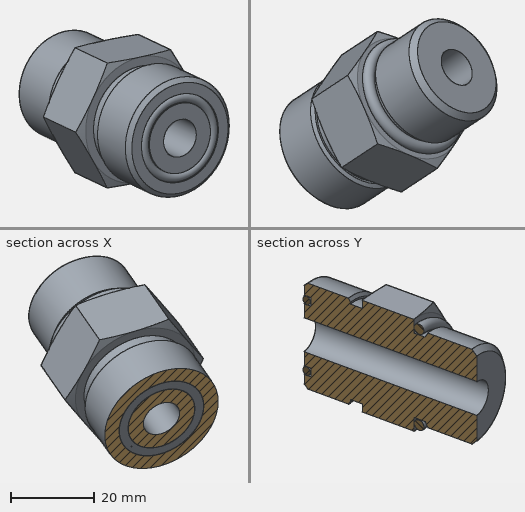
import cadquery as cq
import math

length = 51.25
stud_cone_start = 14.45
hex_start = 18.5
hex_end = 33.8
collar_start = 37.15
collar_end = 50.85

bore_diameter = 9.5
stud_diameter = 26.95
groove_diameter = 24.05
ring_diameter = 30.15
ring_section_diameter = 2.95
neck_diameter = 27.15
collar_diameter = 30.15
hex_across_flats = 31.75
face_seal_outer_diameter = 22.3
face_seal_inner_diameter = 17.7

thread_run_out_angle = 30.0
hex_chamfer_angle = 15.0
collar_back_width = 0.55
collar_front_chamfer = 1.15

bore_radius = bore_diameter / 2
stud_radius = stud_diameter / 2
groove_radius = groove_diameter / 2
neck_radius = neck_diameter / 2
collar_radius = collar_diameter / 2
face_seal_outer_radius = face_seal_outer_diameter / 2
face_seal_inner_radius = face_seal_inner_diameter / 2
hex_inner_radius = hex_across_flats / 2
hex_across_corners = hex_across_flats / math.cos(math.radians(30))
hex_outer_radius = hex_across_corners / 2
ring_section_radius = ring_section_diameter / 2
ring_center_radius = ring_diameter / 2 - ring_section_radius
face_seal_section_radius = (face_seal_outer_radius - face_seal_inner_radius) / 2
face_seal_center_radius = face_seal_inner_radius + face_seal_section_radius
face_groove_floor = length - 2 * face_seal_section_radius


def revolve_about_x(profile):
    """Turn a closed (x, radius) outline fully around the X axis."""
    return profile.revolve(360, (0, 0, 0), (1, 0, 0))


def make_stud():
    """Stud with an end chamfer, followed by the sealing ring groove."""
    end_chamfer = stud_radius - groove_radius
    run_out_width = end_chamfer * math.tan(math.radians(thread_run_out_angle))
    return revolve_about_x(
        cq.Workplane("XY").polyline([
            (0, 0),
            (0, stud_radius - end_chamfer),
            (end_chamfer, stud_radius),
            (stud_cone_start, stud_radius),
            (stud_cone_start + run_out_width, groove_radius),
            (hex_start, groove_radius),
            (hex_start, 0),
        ]).close()
    )


def make_hexagon():
    """Wrench hexagon with corners on the Y axis, chamfered at both ends."""
    prism = (
        cq.Workplane("YZ", origin=(hex_start, 0, 0))
        .polygon(6, hex_across_corners)
        .extrude(hex_end - hex_start)
    )
    corner_height = hex_outer_radius - hex_inner_radius
    chamfer_width = corner_height * math.tan(math.radians(hex_chamfer_angle))
    envelope = revolve_about_x(
        cq.Workplane("XY").polyline([
            (hex_start, 0),
            (hex_start, hex_inner_radius),
            (hex_start + chamfer_width, hex_outer_radius),
            (hex_end - chamfer_width, hex_outer_radius),
            (hex_end, hex_inner_radius),
            (hex_end, 0),
        ]).close()
    )
    return prism.intersect(envelope)


def make_collar():
    """Neck behind the hexagon and the larger chamfered collar."""
    back_height = collar_back_width / math.tan(math.radians(thread_run_out_angle))
    return revolve_about_x(
        cq.Workplane("XY").polyline([
            (hex_end, 0),
            (hex_end, neck_radius),
            (collar_start, neck_radius),
            (collar_start, collar_radius - back_height),
            (collar_start + collar_back_width, collar_radius),
            (collar_end - collar_front_chamfer, collar_radius),
            (collar_end, collar_radius - collar_front_chamfer),
            (collar_end, 0),
        ]).close()
    )


def cylinder_on_axis(start, end, radius):
    return cq.Workplane("YZ", origin=(start, 0, 0)).circle(radius).extrude(end - start)


def make_face_groove():
    """Annular cavity in the collar end face that holds the face seal."""
    return (
        cq.Workplane("YZ", origin=(face_groove_floor, 0, 0))
        .circle(face_seal_outer_radius)
        .circle(face_seal_inner_radius)
        .extrude(collar_end - face_groove_floor)
    )


def make_fitting():
    """Fitting body with the through bore and the groove for the face seal."""
    body = make_stud().union(make_hexagon()).union(make_collar())
    bore = cq.Workplane("YZ").circle(bore_radius).extrude(collar_end)
    return body.cut(bore).cut(make_face_groove())


def make_round_ring(center_x, center_radius, section_radius):
    """Ring of round section centered on the X axis."""
    section = cq.Workplane("XY").moveTo(center_x, center_radius).circle(section_radius)
    return revolve_about_x(section)


def make_sealing_ring():
    """Ring around the stud groove, resting against the hexagon."""
    return make_round_ring(hex_start - ring_section_radius, ring_center_radius, ring_section_radius)


def make_face_seal():
    """Ring in the face groove, standing slightly proud of the collar end face."""
    return make_round_ring(
        length - face_seal_section_radius, face_seal_center_radius, face_seal_section_radius
    )


fitting = make_fitting()
sealing_ring = make_sealing_ring()
face_seal = make_face_seal()

result = cq.Compound.makeCompound([fitting.val(), sealing_ring.val(), face_seal.val()])